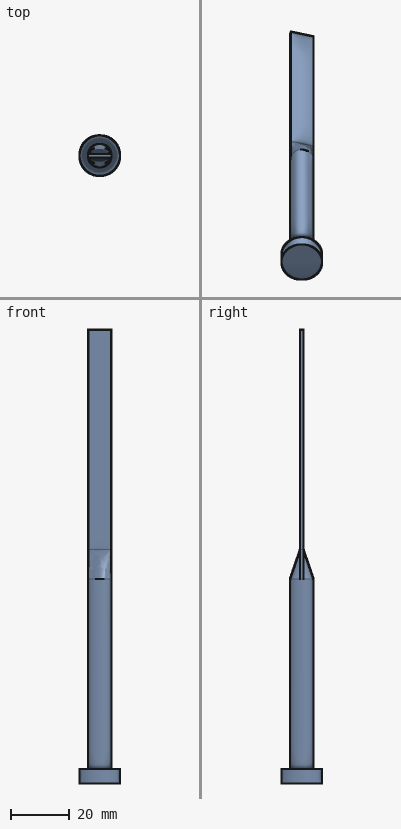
import cadquery as cq
import math

total_length = 155.0
head_diameter = 14.0
head_height = 5.0
shaft_diameter = 8.0
shaft_top = 69.9
blade_bottom = 80.0
blade_thickness = 1.2

shaft_radius = shaft_diameter / 2
half_thickness = blade_thickness / 2
half_width = math.sqrt(shaft_radius**2 - half_thickness**2)
blade_width = 2 * half_width


def make_transition():
    """Ruled loft from the round shaft to the flat blade, corner to corner."""
    circle = (
        cq.Workplane("XY", origin=(0, 0, shaft_top))
        .moveTo(-half_width, -half_thickness)
        .threePointArc((0, -shaft_radius), (half_width, -half_thickness))
        .threePointArc((shaft_radius, 0), (half_width, half_thickness))
        .threePointArc((0, shaft_radius), (-half_width, half_thickness))
        .threePointArc((-shaft_radius, 0), (-half_width, -half_thickness))
        .close()
    )
    rectangle = (
        cq.Workplane("XY", origin=(0, 0, blade_bottom))
        .moveTo(-half_width, -half_thickness)
        .lineTo(half_width, -half_thickness)
        .lineTo(half_width, half_thickness)
        .lineTo(-half_width, half_thickness)
        .close()
    )
    sections = [circle.wire().val(), rectangle.wire().val()]
    return cq.Workplane(cq.Solid.makeLoft(sections, True))


head = cq.Workplane("XY").circle(head_diameter / 2).extrude(head_height)
shaft = cq.Workplane("XY").circle(shaft_radius).extrude(shaft_top)
blade = (
    cq.Workplane("XY", origin=(0, 0, blade_bottom))
    .rect(blade_width, blade_thickness)
    .extrude(total_length - blade_bottom)
)

result = head.union(shaft).union(make_transition()).union(blade)